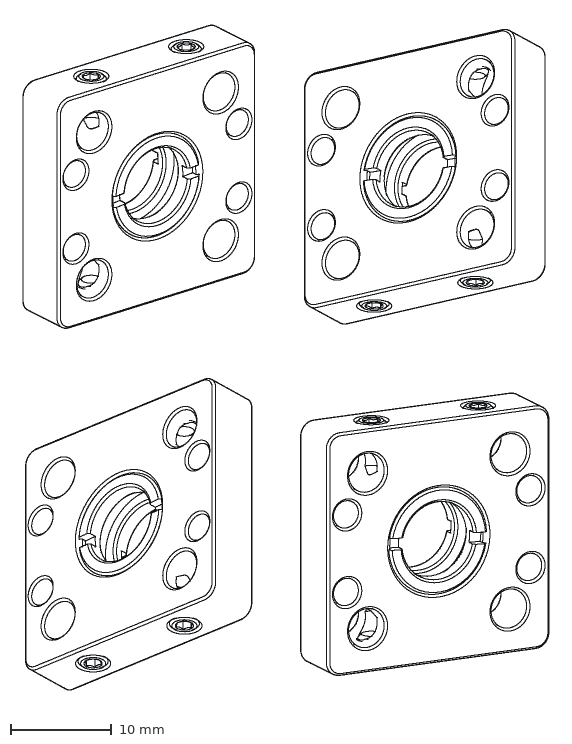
import cadquery as cq
import math

PLATE_SIZE = 25.0
PLATE_THICKNESS = 6.0
CORNER_RADIUS = 1.5
EDGE_CHAMFER = 0.25
HALF_THICKNESS = PLATE_THICKNESS / 2
TOP_Z = PLATE_SIZE / 2

HOLE_CHAMFER = 0.25
ROD_HOLE_DIAMETER = 4.0
ROD_HOLE_OFFSET = 8.0
BOLT_HOLE_DIAMETER = 2.8
BOLT_HOLE_Y = 10.3
BOLT_HOLE_Z = 4.0

BORE_DIAMETER = 10.5
BORE_CHAMFER = 0.5
RING_DIAMETER = 11.0
RING_BORE_DIAMETER = 8.0
RING_LENGTH = 2.0
RING_CHAMFER = 0.25
SLOT_WIDTH = 1.2
SLOT_DEPTH = 1.0
SLOT_ANGLE = 3.4

SCREW_Y = ROD_HOLE_OFFSET - ROD_HOLE_DIAMETER / 2
SCREW_DIAMETER = 3.0
SCREW_LENGTH = 3.0
SCREW_HEAD_CHAMFER = 0.25
SCREW_TIP_CHAMFER = 0.5
SOCKET_ACROSS_FLATS = 1.5
SOCKET_DEPTH = 1.25
SOCKET_MOUTH_DIAMETER = 1.8
SOCKET_TURNS = {-SCREW_Y: 0.0, SCREW_Y: 19.0}

TAP_DIAMETER = 2.5
TAP_DEPTH = 5.0
TAP_CHAMFER = 0.5
DRILL_POINT_ANGLE = 118.0

SIDES = (-1, 1)


def cone(base_radius, top_radius, height, base, direction):
    """Cone, pointed or truncated, standing on its base point along a direction."""
    return cq.Workplane(
        cq.Solid.makeCone(base_radius, top_radius, height, cq.Vector(*base), cq.Vector(*direction))
    )


def through_hole(diameter, chamfer, y=0.0, z=0.0):
    """Cutter for a hole along X with a 45-degree chamfer at both faces."""
    radius = diameter / 2
    cutter = cq.Workplane("YZ").center(y, z).circle(radius).extrude(HALF_THICKNESS, both=True)
    for side in SIDES:
        face_centre = (side * HALF_THICKNESS, y, z)
        cutter = cutter.union(cone(radius + chamfer, radius, chamfer, face_centre, (-side, 0, 0)))
    return cutter


def tapped_hole(y, side):
    """Cutter for a drilled set screw hole in the top (side 1) or bottom (side -1) edge."""
    radius = TAP_DIAMETER / 2
    point_length = radius / math.tan(math.radians(DRILL_POINT_ANGLE / 2))
    profile = (
        cq.Workplane("YZ")
        .moveTo(0, TOP_Z)
        .lineTo(radius + TAP_CHAMFER, TOP_Z)
        .lineTo(radius, TOP_Z - TAP_CHAMFER)
        .lineTo(radius, TOP_Z - TAP_DEPTH)
        .lineTo(0, TOP_Z - TAP_DEPTH - point_length)
        .close()
    )
    cutter = profile.revolve(360, (0, 0), (0, 1)).translate((0, y, 0))
    return cutter if side > 0 else cutter.mirror("XY")


def make_housing():
    """Square plate with the central bore, rod holes, bolt holes and tapped holes."""
    housing = cq.Workplane("YZ").rect(PLATE_SIZE, PLATE_SIZE).extrude(HALF_THICKNESS, both=True)
    housing = housing.edges("|X").fillet(CORNER_RADIUS)
    housing = housing.faces("<X or >X").edges().chamfer(EDGE_CHAMFER)
    housing = housing.cut(through_hole(BORE_DIAMETER, BORE_CHAMFER))
    for y_side in SIDES:
        for z_side in SIDES:
            rod_y = y_side * ROD_HOLE_OFFSET
            rod_z = z_side * ROD_HOLE_OFFSET
            bolt_y = y_side * BOLT_HOLE_Y
            bolt_z = z_side * BOLT_HOLE_Z
            housing = housing.cut(through_hole(ROD_HOLE_DIAMETER, HOLE_CHAMFER, rod_y, rod_z))
            housing = housing.cut(through_hole(BOLT_HOLE_DIAMETER, HOLE_CHAMFER, bolt_y, bolt_z))
            housing = housing.cut(tapped_hole(y_side * SCREW_Y, z_side))
    return housing


def make_ring(side):
    """Retaining ring flush with the -X (side -1) or +X (side 1) face, slotted on its outer face."""
    outer_face = cq.Workplane("YZ", origin=(-HALF_THICKNESS, 0, 0))
    ring = outer_face.circle(RING_DIAMETER / 2).circle(RING_BORE_DIAMETER / 2).extrude(RING_LENGTH)
    ring = ring.edges().chamfer(RING_CHAMFER)
    slot = outer_face.rect(RING_DIAMETER, SLOT_WIDTH).extrude(SLOT_DEPTH)
    ring = ring.cut(slot.rotate((0, 0, 0), (1, 0, 0), SLOT_ANGLE))
    return ring if side < 0 else ring.mirror("YZ")


def make_screw(y, side):
    """Hex socket set screw flush with the top (side 1) or bottom (side -1) edge."""
    tip = cq.Workplane("XY", origin=(0, 0, TOP_Z - SCREW_LENGTH))
    screw = tip.circle(SCREW_DIAMETER / 2).extrude(SCREW_LENGTH)
    screw = screw.faces(">Z").edges().chamfer(SCREW_HEAD_CHAMFER)
    screw = screw.faces("<Z").edges().chamfer(SCREW_TIP_CHAMFER)

    socket_floor = cq.Workplane("XY", origin=(0, 0, TOP_Z - SOCKET_DEPTH))
    socket = socket_floor.polygon(6, SOCKET_ACROSS_FLATS, circumscribed=True).extrude(SOCKET_DEPTH)
    socket = socket.rotate((0, 0, 0), (0, 0, 1), SOCKET_TURNS[y])
    mouth_radius = SOCKET_MOUTH_DIAMETER / 2
    socket = socket.union(cone(mouth_radius, 0, mouth_radius, (0, 0, TOP_Z), (0, 0, -1)))

    screw = screw.cut(socket).translate((0, y, 0))
    return screw if side > 0 else screw.mirror("XY")


rings = [make_ring(side) for side in SIDES]
screws = [make_screw(y, side) for y in (-SCREW_Y, SCREW_Y) for side in SIDES]

housing = make_housing()
for threaded_part in rings + screws:
    housing = housing.cut(threaded_part)

result = cq.Compound.makeCompound([
    housing.val(),
    *[ring.val() for ring in rings],
    *[screw.val() for screw in screws],
])